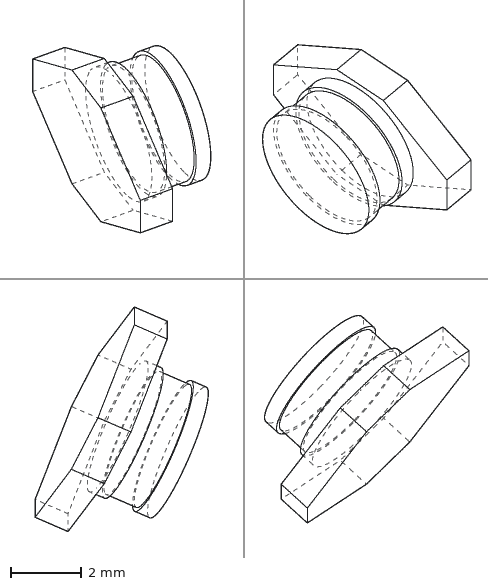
import cadquery as cq

plate_length = 6.6
plate_height = 4.45
plate_thickness = 1.035
long_flat = 1.77
end_flat = 1.275

flange_diameter = 4.05
neck_diameter = 3.815
flange_width = 0.475
spool_length = 1.895
neck_width = spool_length - 2 * flange_width


def make_plate():
    """Octagonal plate with its front face at Y = 0, extending towards +Y."""
    half_length = plate_length / 2
    half_height = plate_height / 2
    outline = [
        (-half_length, -end_flat / 2),
        (-long_flat / 2, -half_height),
        (long_flat / 2, -half_height),
        (half_length, -end_flat / 2),
        (half_length, end_flat / 2),
        (long_flat / 2, half_height),
        (-long_flat / 2, half_height),
        (-half_length, end_flat / 2),
    ]
    return cq.Workplane("XZ").polyline(outline).close().extrude(-plate_thickness)


def add_spool(plate):
    """Stack flange, neck and flange on the back of the plate."""
    sections = [
        (flange_diameter, flange_width),
        (neck_diameter, neck_width),
        (flange_diameter, flange_width),
    ]
    body = plate
    start = plate_thickness
    for diameter, width in sections:
        disc = cq.Workplane("XZ", origin=(0, start, 0)).circle(diameter / 2).extrude(-width)
        body = body.union(disc)
        start += width
    return body


result = add_spool(make_plate())